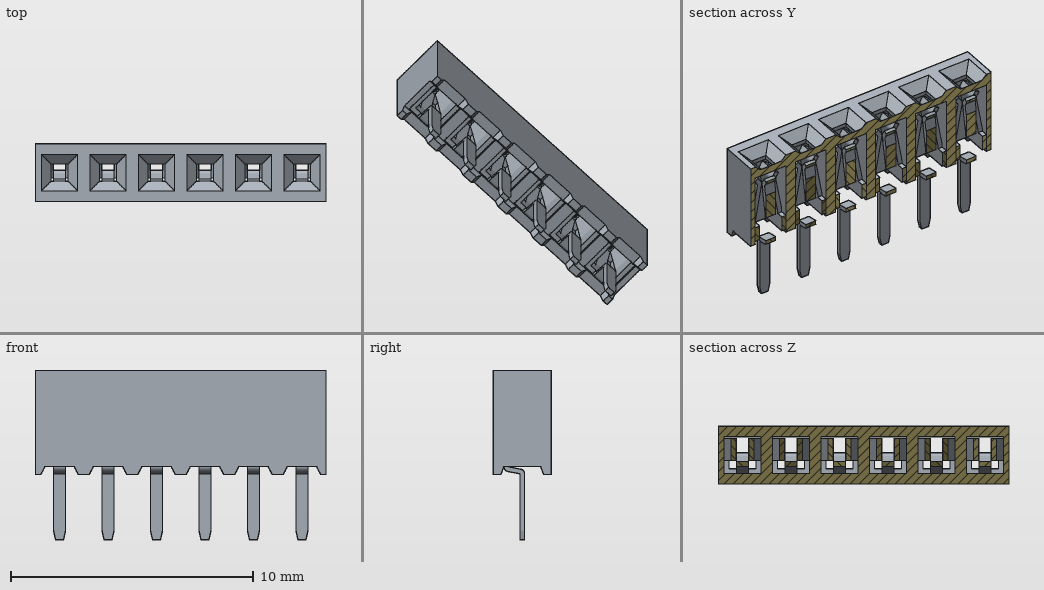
import cadquery as cq
import math

pin_count = 6
length = 12.0
pitch = length / pin_count
width = 2.4
height = 4.3
leg_bottom = -2.7

relief_height = 0.32
notch_half_top = 0.6
notch_half_bottom = 0.77
channel_half_top = 0.75
channel_half_bottom = 0.88

funnel_mouth = 1.5
throat_size = 0.7
throat_length = 0.18
funnel_depth = (funnel_mouth - throat_size) / 2
cavity_half = channel_half_top
cavity_top = height - funnel_depth - throat_length

sheet = 0.2
leg_width = 0.5
leg_point_width = 0.34
leg_point_length = 0.38
bend_angle = math.radians(11)
bend_z = 0.02

collar_inner = cavity_half - sheet
collar_bottom = 0.48
collar_end_y = 0.7
collar_height = 0.72

crest_distance = 0.25
crest_radius = 0.3
tip_distance = 0.42
tip_drop = 0.32
tip_z = cavity_top - tip_drop
lean_angle = math.radians(10)
flare_angle = math.radians(33)
side_tine_start_y = -0.23


def relief(plane, half_bottom, half_top, depth):
    """Trapezoid prism centred on the plane's origin, narrowing upwards."""
    outline = [
        (-half_bottom, 0),
        (half_bottom, 0),
        (half_top, relief_height),
        (-half_top, relief_height),
    ]
    return cq.Workplane(plane).polyline(outline).close().extrude(depth / 2, both=True)


def make_socket(x):
    """Open space of one socket, from the funnel mouth to the underside."""
    funnel = (
        cq.Workplane("XY", origin=(x, 0, height))
        .rect(funnel_mouth, funnel_mouth)
        .workplane(offset=-funnel_depth)
        .rect(throat_size, throat_size)
        .loft(ruled=True)
    )
    throat = (
        cq.Workplane("XY", origin=(x, 0, cavity_top))
        .rect(throat_size, throat_size)
        .extrude(throat_length)
    )
    cavity = (
        cq.Workplane("XY", origin=(x, 0, 0))
        .rect(2 * cavity_half, 2 * cavity_half)
        .extrude(cavity_top)
    )
    return funnel.union(throat).union(cavity)


def make_housing(positions):
    body = cq.Workplane("XY").box(length, width, height, centered=(True, True, False))
    body = body.cut(relief("YZ", channel_half_bottom, channel_half_top, length))
    for x in positions:
        notch = relief("XZ", notch_half_bottom, notch_half_top, width)
        body = body.cut(notch.translate((x, 0, 0)))
        body = body.cut(make_socket(x))
    return body


def arc_point(centre, radius, angle):
    """Point on an arc, the angle measured upwards from the direction of the socket axis."""
    return (centre[0] - radius * math.cos(angle), centre[1] + radius * math.sin(angle))


def tine_profile(plane):
    """Tine section; the first coordinate is the distance from the socket axis, the second is Z."""
    flare_drop = crest_radius * math.sin(flare_angle)
    flare_start = crest_distance + crest_radius * (1 - math.cos(flare_angle))
    crest_z = tip_z - (tip_distance - flare_start) / math.tan(flare_angle) - flare_drop
    centre = (crest_distance + crest_radius, crest_z)
    back_radius = crest_radius - sheet

    lean_end = arc_point(centre, crest_radius, -lean_angle)
    root_z = lean_end[1] - (collar_inner - lean_end[0]) / math.tan(lean_angle)
    outer_root_z = root_z + sheet * math.tan(lean_angle / 2)
    tip_back = (
        tip_distance + sheet * math.cos(flare_angle),
        tip_z - sheet * math.sin(flare_angle),
    )
    return (
        cq.Workplane(plane)
        .moveTo(collar_inner, collar_bottom)
        .lineTo(collar_inner, root_z)
        .lineTo(*lean_end)
        .threePointArc(
            arc_point(centre, crest_radius, 0), arc_point(centre, crest_radius, flare_angle)
        )
        .lineTo(tip_distance, tip_z)
        .lineTo(*tip_back)
        .lineTo(*arc_point(centre, back_radius, flare_angle))
        .threePointArc(
            arc_point(centre, back_radius, 0), arc_point(centre, back_radius, -lean_angle)
        )
        .lineTo(cavity_half, outer_root_z)
        .lineTo(cavity_half, collar_bottom)
        .close()
    )


def make_tines():
    """Two side tines and the front tine, each with the piece of collar below it."""
    side_width = collar_end_y - side_tine_start_y
    right_plane = cq.Plane(origin=(0, side_tine_start_y, 0), xDir=(1, 0, 0), normal=(0, -1, 0))
    right_tine = tine_profile(right_plane).extrude(-side_width)
    left_tine = right_tine.mirror("YZ")
    front_plane = cq.Plane(origin=(0, 0, 0), xDir=(0, -1, 0), normal=(-1, 0, 0))
    front_tine = tine_profile(front_plane).extrude(leg_width / 2, both=True)
    return front_tine.union(right_tine).union(left_tine)


def make_collar():
    depth = collar_end_y + cavity_half
    outer = cq.Workplane("XY").box(
        2 * cavity_half, depth, collar_height, centered=(True, False, False)
    )
    inner = cq.Workplane("XY").box(
        2 * collar_inner, depth, collar_height, centered=(True, False, False)
    )
    return outer.cut(inner.translate((0, sheet, 0))).translate((0, -cavity_half, collar_bottom))


def point_waste():
    """Two wedges whose removal tapers the end of the leg."""
    wedge = (
        cq.Workplane("XZ")
        .moveTo(leg_width / 2, leg_bottom + leg_point_length)
        .lineTo(leg_width / 2, leg_bottom)
        .lineTo(leg_point_width / 2, leg_bottom)
        .close()
        .extrude(sheet / 2, both=True)
    )
    return wedge.union(wedge.mirror("YZ"))


def make_leg():
    """Pointed leg, the sloping bend above it and the upright that joins the collar."""
    front_y = -sheet / 2
    rise = math.tan(bend_angle)
    upper_z = bend_z + sheet / math.cos(bend_angle)
    lower_corner_z = bend_z + rise * (front_y + cavity_half)
    upper_corner_z = upper_z + rise * (front_y + collar_inner)
    back_corner_z = upper_z - rise * sheet
    strip = (
        cq.Workplane("YZ")
        .moveTo(front_y, leg_bottom)
        .lineTo(front_y, bend_z)
        .lineTo(-cavity_half, lower_corner_z)
        .lineTo(-cavity_half, collar_bottom)
        .lineTo(-collar_inner, collar_bottom)
        .lineTo(-collar_inner, upper_corner_z)
        .lineTo(-front_y, back_corner_z)
        .lineTo(-front_y, leg_bottom)
        .close()
        .extrude(leg_width / 2, both=True)
    )
    lower_bend = cq.selectors.NearestToPointSelector((0, -cavity_half, lower_corner_z))
    upper_bend = cq.selectors.NearestToPointSelector((0, -front_y, back_corner_z))
    strip = strip.edges(lower_bend).fillet(sheet)
    strip = strip.edges(upper_bend).fillet(sheet)
    return strip.cut(point_waste())


def make_contact(x):
    contact = make_leg().union(make_collar()).union(make_tines())
    return contact.translate((x, 0, 0))


positions = [(i - (pin_count - 1) / 2) * pitch for i in range(pin_count)]
housing = make_housing(positions)
contacts = [make_contact(x) for x in positions]

result = cq.Compound.makeCompound(
    [housing.solids().val(), *[contact.solids().val() for contact in contacts]]
)